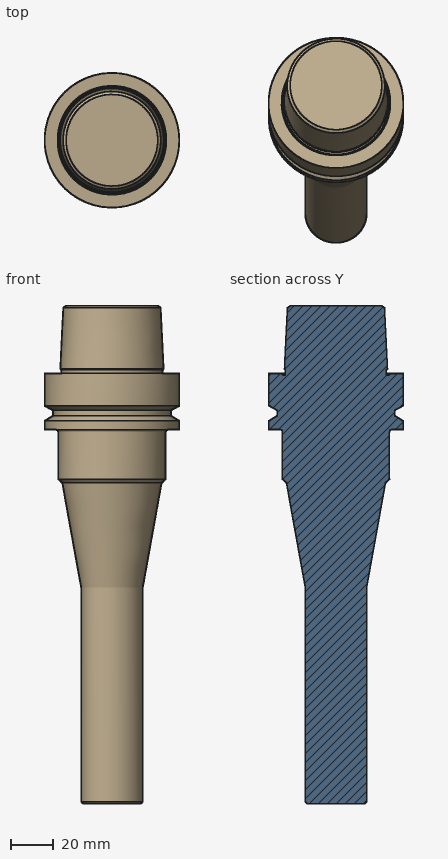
import cadquery as cq

total_length = 232.0
collar_top = 200.4
collar_bottom = 174.2
spigot_bottom = 151.2
cone_bottom = 100.6

taper_top_diameter = 45.5
taper_base_diameter = 48.2
collar_diameter = 62.8
groove_diameter = 55.2
spigot_diameter = 50.0
cone_top_diameter = 46.4
shank_diameter = 28.8

groove_top = 185.3
groove_floor_top = 183.2
groove_floor_bottom = 180.7
groove_bottom = 178.3

taper_chamfer_height = 1.0
taper_chamfer_width = 1.5
spigot_chamfer = 1.6
spigot_fillet = 1.2
tip_chamfer = 1.0

relief_diameter = 50.8
relief_depth = 0.7
relief_top = 202.5
relief_root_diameter = 47.3


def half_profile():
    """Closed half outline of the turned body, from the tip up to the top face."""
    taper_top = taper_top_diameter / 2
    taper_base = taper_base_diameter / 2
    collar = collar_diameter / 2
    groove = groove_diameter / 2
    spigot = spigot_diameter / 2
    cone_top = cone_top_diameter / 2
    relief_root = relief_root_diameter / 2
    shank = shank_diameter / 2
    return (
        cq.Workplane("XZ")
        .moveTo(0, 0)
        .lineTo(shank - tip_chamfer, 0)
        .lineTo(shank, tip_chamfer)
        .lineTo(shank, cone_bottom)
        .lineTo(cone_top, spigot_bottom - spigot_chamfer)
        .lineTo(spigot - spigot_chamfer, spigot_bottom - spigot_chamfer)
        .lineTo(spigot, spigot_bottom)
        .lineTo(spigot, collar_bottom - spigot_fillet)
        .radiusArc((spigot + spigot_fillet, collar_bottom), spigot_fillet)
        .lineTo(collar, collar_bottom)
        .lineTo(collar, groove_bottom)
        .lineTo(groove, groove_floor_bottom)
        .lineTo(groove, groove_floor_top)
        .lineTo(collar, groove_top)
        .lineTo(collar, collar_top)
        .lineTo(relief_diameter / 2, collar_top)
        .lineTo(relief_diameter / 2 - relief_depth, collar_top - relief_depth)
        .lineTo(relief_root, collar_top - relief_depth)
        .lineTo(relief_root, relief_top - (taper_base - relief_root))
        .lineTo(taper_base, relief_top)
        .lineTo(taper_top, total_length - taper_chamfer_height)
        .lineTo(taper_top - taper_chamfer_width, total_length)
        .lineTo(0, total_length)
        .close()
    )


result = half_profile().revolve(360, (0, 0, 0), (0, 1, 0))